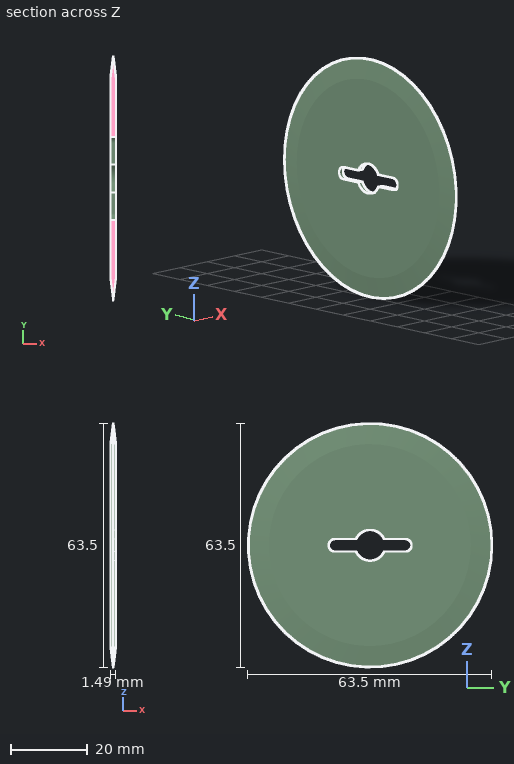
import cadquery as cq

disc_diameter = 63.5
disc_thickness = 1.49
flat_diameter = 52.53

edge_bevel_width = 0.15
edge_bevel_thickness = 0.16

bore_diameter = 7.94
slot_length = 21.5
slot_width = 3.2


def make_disc():
    """Disc with two flat faces, bevelled in two steps on each side to a sharp edge."""
    disc_radius = disc_diameter / 2
    flat_radius = flat_diameter / 2
    edge_bevel_radius = disc_radius - edge_bevel_width
    half_thickness = disc_thickness / 2
    half_edge = edge_bevel_thickness / 2
    half_section = [
        (-half_thickness, 0),
        (-half_thickness, flat_radius),
        (-half_edge, edge_bevel_radius),
        (0, disc_radius),
        (half_edge, edge_bevel_radius),
        (half_thickness, flat_radius),
        (half_thickness, 0),
    ]
    profile = cq.Workplane("XY").polyline(half_section).close()
    return profile.revolve(360, (0, 0, 0), (1, 0, 0))


def make_opening():
    """Through cutter for the central bore and its round-ended slot."""
    mid_plane = cq.Workplane("YZ")
    bore = mid_plane.circle(bore_diameter / 2).extrude(disc_thickness, both=True)
    slot = mid_plane.slot2D(slot_length, slot_width).extrude(disc_thickness, both=True)
    return bore.union(slot)


result = make_disc().cut(make_opening())